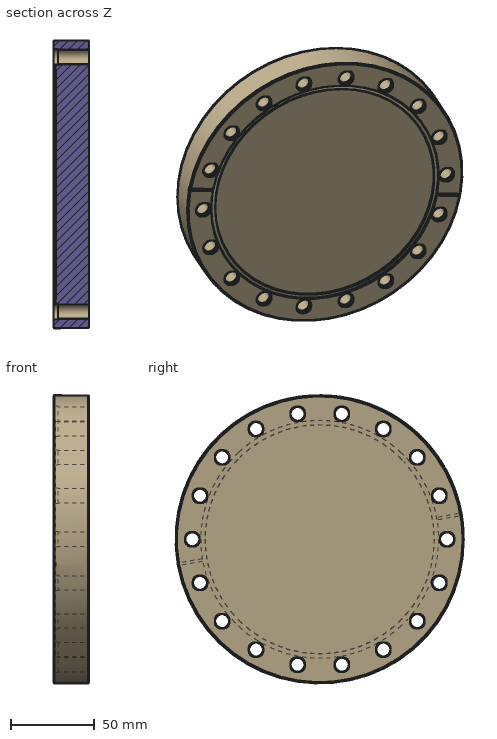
import cadquery as cq

outer_diameter = 171.5
thickness = 21.3
rim_chamfer = 0.7

recess_radius = 70.8
knife_tip_radius = 68.2
floor_radius = 68.0
recess_depth = 1.4
knife_tip_depth = 0.5

bolt_count = 18
bolt_circle_radius = 75.8
bolt_hole_diameter = 8.4
counterbore_diameter = 9.1
counterbore_depth = 2.7

groove_width = 1.5
groove_depth = 1.2
bolt_pitch_angle = 360 / bolt_count
groove_angle = bolt_pitch_angle / 2

outer_radius = outer_diameter / 2


def make_blank():
    """Plain disc with both rims chamfered."""
    disc = cq.Workplane("YZ").circle(outer_radius).extrude(thickness)
    return disc.edges().chamfer(rim_chamfer)


def make_recess():
    """Revolved cutter: a flat floor ringed by a knife edge that slopes down to the recess wall."""
    profile = [
        (0, 0),
        (0, recess_radius),
        (recess_depth, recess_radius),
        (knife_tip_depth, knife_tip_radius),
        (recess_depth, floor_radius),
        (recess_depth, 0),
    ]
    return cq.Workplane("XY").polyline(profile).close().revolve(360, (0, 0, 0), (1, 0, 0))


def make_hole_ring(diameter, depth):
    """Cutters on the bolt circle, running from the sealing face; the first is on the +Y axis."""
    return (
        cq.Workplane("YZ")
        .polarArray(bolt_circle_radius, 0, 360, bolt_count)
        .circle(diameter / 2)
        .extrude(depth)
    )


def make_grooves():
    """Radial slots from the recess out through the rim, on opposite sides of the axis."""
    bar = cq.Workplane("XY").box(groove_depth, outer_diameter, groove_width, centered=(False, True, True))
    gap = cq.Workplane("YZ").circle(recess_radius).extrude(groove_depth)
    return bar.rotate((0, 0, 0), (1, 0, 0), groove_angle).cut(gap)


result = (
    make_blank()
    .cut(make_recess())
    .cut(make_hole_ring(bolt_hole_diameter, thickness))
    .cut(make_hole_ring(counterbore_diameter, counterbore_depth))
    .cut(make_grooves())
)